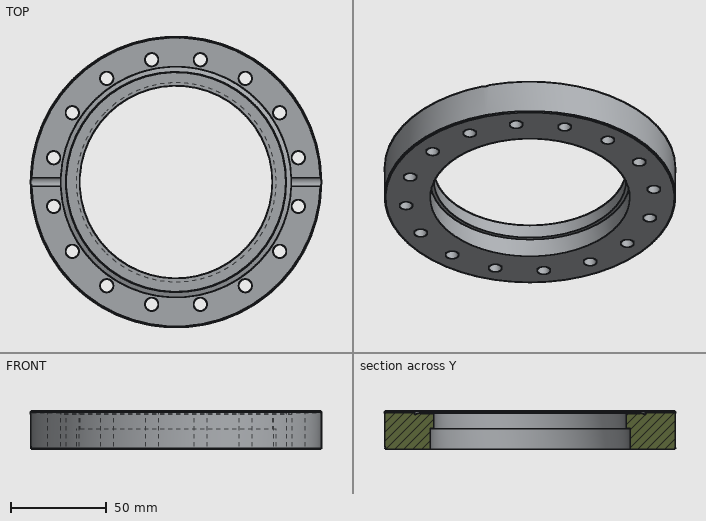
import cadquery as cq
import math

outer_diameter = 152.0
thickness = 20.0
edge_chamfer = 0.6

bore_diameter = 100.5
lower_bore_diameter = 104.3
face_depth = 1.4
narrow_bore_length = 7.9

recess_diameter = 120.5
knife_diameter = 115.2
knife_depth = 0.9
knife_slope = 20.0
knife_inner_run = 0.3

bolt_count = 16
bolt_circle_diameter = 130.3
bolt_hole_diameter = 6.8

groove_width = 4.3
groove_depth = 0.9


def make_body():
    """Revolve the ring section, including recess, knife edge and stepped bore."""
    outer_radius = outer_diameter / 2
    bore_radius = bore_diameter / 2
    lower_radius = lower_bore_diameter / 2
    recess_radius = recess_diameter / 2
    knife_radius = knife_diameter / 2
    face_height = thickness - face_depth
    step_height = face_height - narrow_bore_length
    tip_height = thickness - knife_depth
    slope_drop = (recess_radius - knife_radius) * math.tan(math.radians(knife_slope))
    section = (
        cq.Workplane("XZ")
        .moveTo(lower_radius, 0)
        .lineTo(outer_radius - edge_chamfer, 0)
        .lineTo(outer_radius, edge_chamfer)
        .lineTo(outer_radius, thickness - edge_chamfer)
        .lineTo(outer_radius - edge_chamfer, thickness)
        .lineTo(recess_radius, thickness)
        .lineTo(recess_radius, tip_height - slope_drop)
        .lineTo(knife_radius, tip_height)
        .lineTo(knife_radius - knife_inner_run, face_height)
        .lineTo(bore_radius, face_height)
        .lineTo(bore_radius, step_height)
        .lineTo(lower_radius, step_height)
        .close()
    )
    return section.revolve(360, (0, 0), (0, 1))


def make_bolt_holes():
    """Through-hole cylinders, with the X axis midway between two holes."""
    half_pitch = 180 / bolt_count
    return (
        cq.Workplane("XY")
        .polarArray(bolt_circle_diameter / 2, half_pitch, 360, bolt_count)
        .circle(bolt_hole_diameter / 2)
        .extrude(thickness)
    )


def make_groove_cutter():
    """Cylinder along X that cuts both rim grooves; it passes above the recessed centre."""
    radius = (groove_width**2 / 4 + groove_depth**2) / (2 * groove_depth)
    axis_height = thickness - groove_depth + radius
    return (
        cq.Workplane("YZ")
        .center(0, axis_height)
        .circle(radius)
        .extrude(outer_diameter / 2, both=True)
    )


result = make_body().cut(make_bolt_holes()).cut(make_groove_cutter())